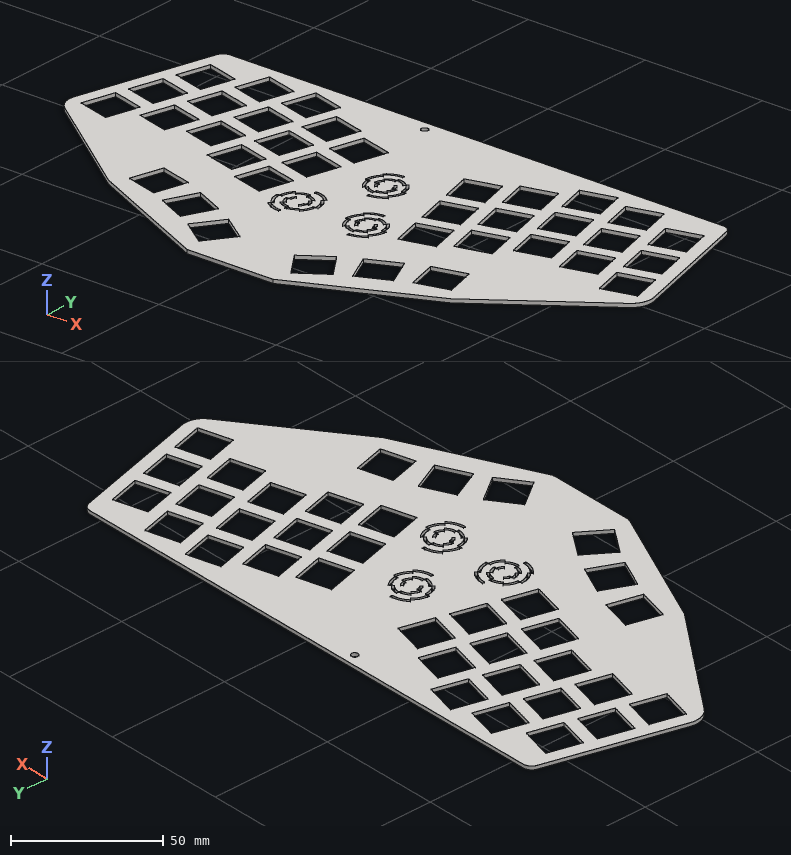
import cadquery as cq
import math


PLATE_LENGTH = 248.0
PLATE_WIDTH = 127.0
THICKNESS = 1.6
HAND_ANGLE = 15
SIDE_RADIUS = 8.5
SIDE_CENTER_Y = 3.5
REAR_RADIUS = 4.0
KNEE_X, KNEE_Y = 73.2, -38.0
FRONT_HALF_WIDTH = 18.4

KEY_SIZE = 14.0
KEY_PITCH = 19.0
ROWS = 3
OUTER_KEY_X, OUTER_KEY_Y = 100.5, 45.0
COLUMN_SHIFTS = (0, 10.2, 15.5, 10.2, 7.7)
THUMB_KEYS = ((60.3, -27.5, 15), (40.2, -35.5, 25), (21.3, -46.2, 35))

HOLE_DIAMETER = 2.7
HOLE_X, HOLE_Y = -18.5, 59.0

VENTS = ((0, 16.5, 1), (14.6, -11.2, 1), (-14.6, -11.2, -1))
ARM_STARTS = (90, 270)
ARC_COUNT = 7
ARC_SPAN = 45
OUTER_ARC_RADIUS = 9.2
ARC_STEP = 1.0
SLOT_WIDTH = 1.02


def polar(radius, angle):
    """Vector of a given length at an angle in degrees from +X."""
    return cq.Vector(radius * math.cos(math.radians(angle)), radius * math.sin(math.radians(angle)))


def make_plate():
    rear_y = PLATE_WIDTH / 2
    side_center = cq.Vector(PLATE_LENGTH / 2 - SIDE_RADIUS, SIDE_CENTER_Y)

    side_start = side_center + polar(SIDE_RADIUS, HAND_ANGLE)
    lean = (rear_y - side_start.y) * math.tan(math.radians(HAND_ANGLE))
    rear_corner_x = side_start.x - lean

    knee_to_center = side_center - cq.Vector(KNEE_X, KNEE_Y)
    center_direction = math.degrees(math.atan2(knee_to_center.y, knee_to_center.x))
    edge_direction = center_direction - math.degrees(math.asin(SIDE_RADIUS / knee_to_center.Length))
    front_end = side_center + polar(SIDE_RADIUS, edge_direction - 90)

    right_half = (
        cq.Workplane("XY")
        .moveTo(0, rear_y)
        .lineTo(rear_corner_x, rear_y)
        .lineTo(side_start.x, side_start.y)
        .threePointArc((PLATE_LENGTH / 2, SIDE_CENTER_Y), (front_end.x, front_end.y))
        .lineTo(KNEE_X, KNEE_Y)
        .lineTo(FRONT_HALF_WIDTH, -rear_y)
        .lineTo(0, -rear_y)
        .close()
        .extrude(THICKNESS)
    )
    rear_corner = cq.selectors.NearestToPointSelector((rear_corner_x, rear_y, THICKNESS / 2))
    right_half = right_half.edges("|Z").edges(rear_corner).fillet(REAR_RADIUS)
    return right_half.union(right_half.mirror("YZ")).clean()


def make_key(x, y, tilt):
    """Square opening whose sides are turned counter-clockwise by tilt degrees."""
    key = cq.Workplane("XY").rect(KEY_SIZE, KEY_SIZE).extrude(THICKNESS)
    return key.rotate((0, 0, 0), (0, 0, 1), tilt).translate((x, y, 0))


def make_hand_keys():
    """All key openings of the right hand."""
    inward = polar(KEY_PITCH, 180 + HAND_ANGLE)
    rearward = polar(1, 90 + HAND_ANGLE)
    places = list(THUMB_KEYS)
    for column, shift in enumerate(COLUMN_SHIFTS):
        for row in range(ROWS):
            along_column = rearward * (shift - row * KEY_PITCH)
            place = cq.Vector(OUTER_KEY_X, OUTER_KEY_Y) + inward * column + along_column
            places.append((place.x, place.y, HAND_ANGLE))
    keys = cq.Workplane("XY")
    for x, y, tilt in places:
        keys.add(make_key(x, y, tilt))
    return keys.combine()


def make_arc_slot(mid_radius, start_angle):
    """Ring sector, one slot wide, covering one arc span counter-clockwise from start_angle."""
    inner = mid_radius - SLOT_WIDTH / 2
    outer = mid_radius + SLOT_WIDTH / 2
    mid_angle = start_angle + ARC_SPAN / 2
    end_angle = start_angle + ARC_SPAN
    inner_start = polar(inner, start_angle)
    outer_start = polar(outer, start_angle)
    inner_end = polar(inner, end_angle)
    outer_end = polar(outer, end_angle)
    return (
        cq.Workplane("XY")
        .moveTo(inner_start.x, inner_start.y)
        .lineTo(outer_start.x, outer_start.y)
        .threePointArc(polar(outer, mid_angle), outer_end)
        .lineTo(inner_end.x, inner_end.y)
        .threePointArc(polar(inner, mid_angle), inner_start)
        .close()
        .extrude(THICKNESS)
    )


def make_vent():
    """Spiral vent about the origin, whose arms wind inward counter-clockwise."""
    arcs = cq.Workplane("XY")
    for arm_start in ARM_STARTS:
        for i in range(ARC_COUNT):
            arcs.add(make_arc_slot(OUTER_ARC_RADIUS - i * ARC_STEP, arm_start + i * ARC_SPAN))
    return arcs.combine()


right_keys = make_hand_keys()
result = make_plate().cut(right_keys).cut(right_keys.mirror("YZ"))

hole = cq.Workplane("XY").center(HOLE_X, HOLE_Y).circle(HOLE_DIAMETER / 2).extrude(THICKNESS)
result = result.cut(hole)

vent = make_vent()
mirrored_vent = vent.mirror("YZ")
for x, y, hand in VENTS:
    handed_vent = vent if hand > 0 else mirrored_vent
    result = result.cut(handed_vent.translate((x, y, 0)))